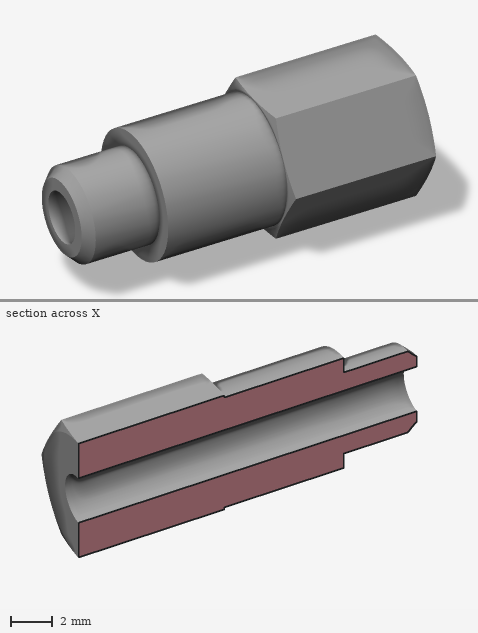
import cadquery as cq
import math

total_length = 18.5
hex_across_flats = 7.0
hex_length = 8.0
hex_chamfer_angle = 15.0
hex_end_diameter = 6.97
shoulder_diameter = 6.75
tip_diameter = 5.0
tip_length = 4.0
tip_chamfer = 0.5
bore_diameter = 2.7

front_y = -total_length / 2
back_y = total_length / 2
hex_front_y = back_y - hex_length
shoulder_front_y = front_y + tip_length
hex_across_corners = hex_across_flats / math.cos(math.radians(30))


def along_y(start_y):
    """Workplane at start_y whose extrusions run towards +Y."""
    return cq.Workplane(cq.Plane(origin=(0, start_y, 0), xDir=(1, 0, 0), normal=(0, 1, 0)))


def chamfered_hexagon():
    """Hexagon with corners on X, its end corners turned off by a cone."""
    prism = along_y(hex_front_y).polygon(6, hex_across_corners).extrude(hex_length)
    end_radius = hex_end_diameter / 2
    corner_radius = hex_across_corners / 2
    drop = (corner_radius - end_radius) * math.tan(math.radians(hex_chamfer_angle))
    turned_blank = (
        cq.Workplane("XY")
        .polyline([
            (0, hex_front_y),
            (end_radius, hex_front_y),
            (corner_radius, hex_front_y + drop),
            (corner_radius, back_y - drop),
            (end_radius, back_y),
            (0, back_y),
        ])
        .close()
        .revolve(360, (0, 0), (0, 1))
    )
    return prism.intersect(turned_blank)


def tip():
    cylinder = along_y(front_y).circle(tip_diameter / 2).extrude(tip_length)
    return cylinder.faces("<Y").chamfer(tip_chamfer)


shoulder = along_y(shoulder_front_y).circle(shoulder_diameter / 2).extrude(hex_front_y - shoulder_front_y)
bore = along_y(front_y).circle(bore_diameter / 2).extrude(total_length)

result = chamfered_hexagon().union(shoulder).union(tip()).cut(bore)